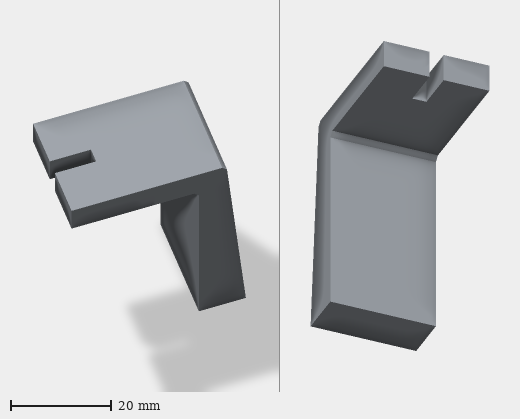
import cadquery as cq

width = 23.0
depth = 37.0
height = 46.0

arm_thickness = 6.0
leg_foot_thickness = 10.0
back_lean = 4.0
chamfer = 1.0

slot_width = 3.1
slot_depth = 8.75

leg_front = depth - leg_foot_thickness
arm_underside = height - arm_thickness
back_top = depth - back_lean


def make_bracket():
    """Side profile in the YZ plane, extruded symmetrically along X."""
    profile = [
        (0, height),
        (0, arm_underside),
        (leg_front - chamfer, arm_underside),
        (leg_front, arm_underside - chamfer),
        (leg_front, 0),
        (depth, 0),
        (back_top, height - chamfer),
        (back_top - chamfer, height),
    ]
    return cq.Workplane("YZ").polyline(profile).close().extrude(width / 2, both=True)


def make_slot():
    """Cutter through the arm, open at its free end."""
    return (
        cq.Workplane("XY")
        .workplane(offset=arm_underside)
        .rect(slot_width, 2 * slot_depth)
        .extrude(arm_thickness)
    )


result = make_bracket().cut(make_slot())